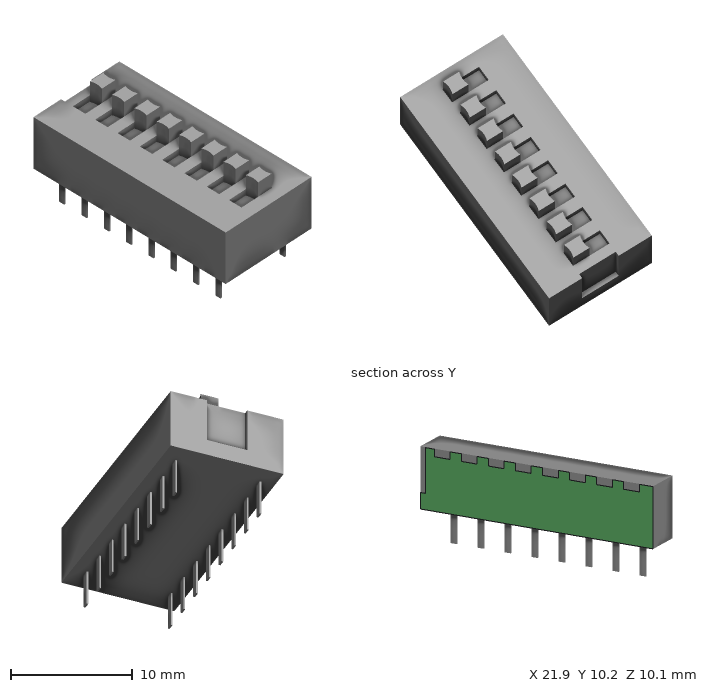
import cadquery as cq

BODY_LENGTH = 21.9
BODY_WIDTH = 10.16
BODY_HEIGHT = 5.4

POSITION_COUNT = 8
PITCH = 2.55

SLOT_WIDTH = 1.42
SLOT_LENGTH = 3.61
SLOT_DEPTH = 0.65

LEVER_WIDTH = 1.38
LEVER_LENGTH = 1.6
LEVER_RISE = 1.5
LEVER_END_GAP = 0.05
LEVER_HOLLOW = 0.13

RECESS_DEPTH = 0.44
RECESS_HEIGHT = 3.95

PIN_WIDTH = 0.6
PIN_THICKNESS = 0.15
PIN_LENGTH = 3.2
PIN_ROW_SPACING = 7.58

position_xs = [(i - (POSITION_COUNT - 1) / 2) * PITCH for i in range(POSITION_COUNT)]


def make_housing():
    """Plain block with the lever slots and the end recess cut from it."""
    body = cq.Workplane("XY").box(
        BODY_LENGTH, BODY_WIDTH, BODY_HEIGHT, centered=(True, True, False)
    )
    slots = (
        cq.Workplane("XY", origin=(0, 0, BODY_HEIGHT))
        .pushPoints([(x, 0) for x in position_xs])
        .rect(SLOT_WIDTH, SLOT_LENGTH)
        .extrude(-SLOT_DEPTH)
    )
    recess = (
        cq.Workplane("XY", origin=(-BODY_LENGTH / 2, 0, BODY_HEIGHT))
        .rect(2 * RECESS_DEPTH, SLOT_LENGTH)
        .extrude(-RECESS_HEIGHT)
    )
    return body.cut(slots).cut(recess)


def make_lever(x):
    """Upright lever standing on its slot floor, with both Y faces hollowed by an arc."""
    back_y = SLOT_LENGTH / 2 - LEVER_END_GAP
    front_y = back_y - LEVER_LENGTH
    left_x = x - LEVER_WIDTH / 2
    right_x = x + LEVER_WIDTH / 2
    return (
        cq.Workplane("XY", origin=(0, 0, BODY_HEIGHT - SLOT_DEPTH))
        .moveTo(left_x, front_y)
        .threePointArc((x, front_y + LEVER_HOLLOW), (right_x, front_y))
        .lineTo(right_x, back_y)
        .threePointArc((x, back_y - LEVER_HOLLOW), (left_x, back_y))
        .close()
        .extrude(SLOT_DEPTH + LEVER_RISE)
    )


def make_pins():
    """Two rows of straight pins hanging from the underside."""
    row_y = PIN_ROW_SPACING / 2
    return (
        cq.Workplane("XY")
        .pushPoints([(x, y) for x in position_xs for y in (-row_y, row_y)])
        .rect(PIN_WIDTH, PIN_THICKNESS)
        .extrude(-PIN_LENGTH)
    )


result = make_housing().union(make_pins())
for position_x in position_xs:
    result = result.union(make_lever(position_x))